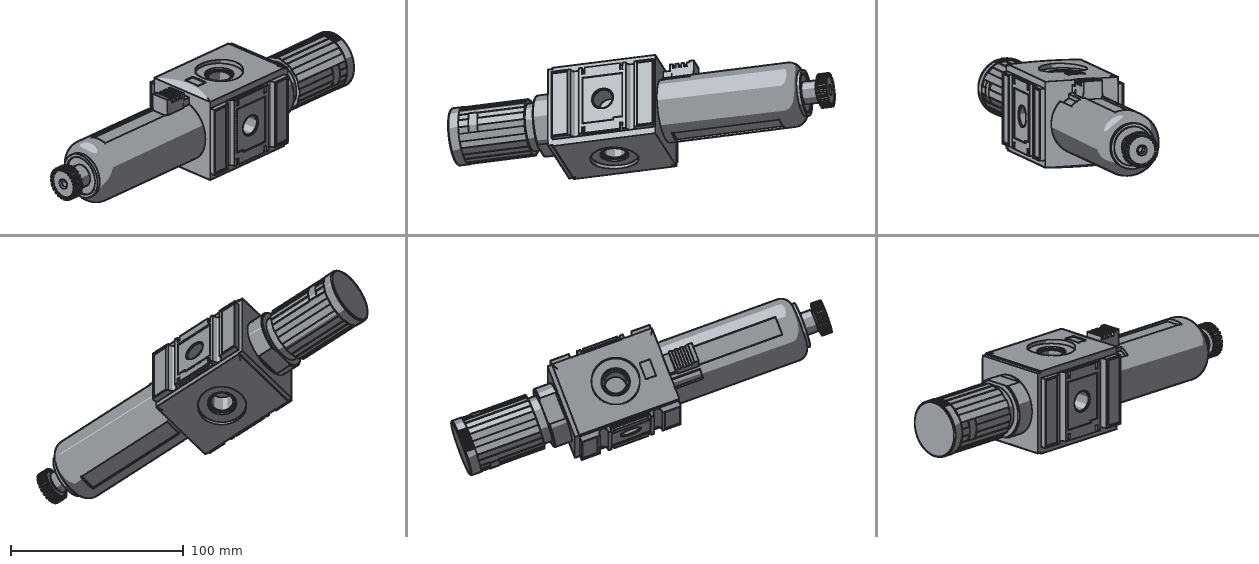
import cadquery as cq
import math


overall_length = 226.0
knob_end_y = 95.8
knob_band_y = knob_end_y - 6.3
knob_base_y = 50.0
collar_top_y = 44.5
plate_top_y = 33.7
block_half_length = 31.0
bowl_shoulder_y = -106.7
bowl_ring_y = -113.7
stem_start_y = -115.5
stem_end_y = -123.0
drain_knob_y = -124.3
drain_end_y = knob_end_y - overall_length

block_width = 45.2
block_edge_height = 50.6
block_crown_height = 54.2
plate_height = 49.0
end_slope_length = 6.0
port_recess_diameter = 28.0
port_recess_floor_z = 24.5
gauge_port_diameter = 12.9
gauge_port_mouth = 16.7
gauge_seat_diameter = 15.1
gauge_seat_depth = 1.5
side_port_diameter = 11.5
side_port_mouth = 12.9
port_depth = 13.5
label_size = (10.5, 6.3)
label_y = -20.0
label_depth = 0.7

rail_face_x = 26.0
rail_height = 42.3
rail_half_length = 30.7
groove_y = 16.7
groove_diameter = 5.2
groove_axis_x = 25.3
end_pocket_length = 9.3
end_pocket_height = 40.2
end_pocket_y = 25.5
pad_length = 24.5
panel_size = (24.0, 29.4)
panel_step_size = (5.5, 1.4)
pocket_depth = 0.7
tab_length = 21.2
tab_slot_width = 1.4
tab_slot_inset = 1.4
tab_slot_depth = 3.8

knob_diameter = 33.7
grip_diameter = 33.2
knob_chamfer = 0.7
flute_count = 12
flute_angle = 14.0
flute_depth = 0.5
mark_count = 9
mark_width = 0.8
mark_depth = 0.5
patch_near_y = knob_end_y - 12.5
patch_far_y = knob_end_y - 17.9
patch_half_angle = 22.0
neck_diameter = 28.0
collar_diameter = 36.0
collar_chamfer = 0.7
collar_flat_height = 31.9
collar_flange = 0.5

bowl_diameter = 37.7
bowl_ring_diameter = 27.0
ring_recess_diameter = 23.0
ring_recess_depth = 1.0
sight_width = 11.3
sight_near_y = -36.2
sight_far_y = -101.0
sight_floor_z = 16.7
lock_floor_radius = 16.7
lock_wall_x = -8.0
lock_edge_angle = 135.0
lock_half_angle = 20.0
stem_diameter = 13.3
stem_neck_diameter = 9.7
drain_diameter = 20.0
drain_root_diameter = 16.5
drain_tooth_count = 24
drain_hole_diameter = 4.0
drain_hole_mouth = 6.0
drain_hole_depth = 4.5

lever_width = 11.5
lever_end_y = -49.3
lever_step_y = -35.0
lever_low_z = 22.4
lever_tooth_z = 26.5
lever_top_z = 27.3
lever_gap_floor_z = 24.2
lever_gap_width = 1.7
lever_gap_count = 3
lever_stop_thickness = 2.5
lever_foot_width = 13.0
lever_foot_z = 20.3
lever_foot_base_z = 17.2


def disc(diameter, y_from, y_to):
    """Cylinder on the long axis between two stations."""
    low = min(y_from, y_to)
    return cq.Workplane("XZ", origin=(0, low, 0)).circle(diameter / 2).extrude(-abs(y_to - y_from))


def block(x_range, y_range, z_range):
    """Box given by its extents along the three axes."""
    size = [high - low for low, high in (x_range, y_range, z_range)]
    corner = (x_range[0], y_range[0], z_range[0])
    return cq.Workplane("XY", origin=corner).box(*size, centered=False)


def polar(radius, angle):
    """Point (x, z) on a circle about the long axis."""
    return radius * math.cos(math.radians(angle)), radius * math.sin(math.radians(angle))


def ring_sector(inner_radius, outer_radius, middle_angle, half_angle, y_from, y_to):
    """Piece of a ring about the long axis, between two stations."""
    start, end = middle_angle - half_angle, middle_angle + half_angle
    profile = (
        cq.Workplane("XZ", origin=(0, y_from, 0))
        .moveTo(*polar(inner_radius, start))
        .lineTo(*polar(outer_radius, start))
        .threePointArc(polar(outer_radius, middle_angle), polar(outer_radius, end))
        .lineTo(*polar(inner_radius, end))
        .threePointArc(polar(inner_radius, middle_angle), polar(inner_radius, start))
        .close()
    )
    return profile.extrude(y_from - y_to)


def port_cutter(diameter, mouth_diameter, face):
    """Blind port cutter with a conical mouth, opening along +Z at height face."""
    lead = (mouth_diameter - diameter) / 2
    profile = [
        (0, face - port_depth),
        (diameter / 2, face - port_depth),
        (diameter / 2, face - lead),
        (mouth_diameter / 2, face),
        (0, face),
    ]
    return cq.Workplane("XZ").polyline(profile).close().revolve(360, (0, 0, 0), (0, 1, 0))


def make_block():
    """Crowned central block with sloped crown ends and the upper plate."""
    half_width = block_width / 2
    edge_z = block_edge_height / 2
    crown_z = block_crown_height / 2
    body = (
        cq.Workplane("XZ", origin=(0, block_half_length, 0))
        .moveTo(-half_width, -edge_z)
        .lineTo(-half_width, edge_z)
        .threePointArc((0, crown_z), (half_width, edge_z))
        .lineTo(half_width, -edge_z)
        .threePointArc((0, -crown_z), (-half_width, -edge_z))
        .close()
        .extrude(2 * block_half_length)
    )
    slope = [
        (block_half_length, edge_z),
        (block_half_length, crown_z),
        (block_half_length - end_slope_length, crown_z),
    ]
    for y_side in (-1, 1):
        for z_side in (-1, 1):
            corner = [(y_side * y, z_side * z) for y, z in slope]
            wedge = cq.Workplane("YZ").polyline(corner).close().extrude(half_width, both=True)
            body = body.cut(wedge)
    plate = block(
        (-half_width, half_width),
        (block_half_length, plate_top_y),
        (-plate_height / 2, plate_height / 2),
    )
    return body.union(plate)


def make_rail():
    """Clamping rail of the +X side, with its grooves, pockets and centre pad."""
    half_height = rail_height / 2
    rail = block(
        (block_width / 2, rail_face_x),
        (-rail_half_length, rail_half_length),
        (-half_height, half_height),
    )
    pocket_x = (rail_face_x - pocket_depth, rail_face_x)
    for side in (-1, 1):
        groove = (
            cq.Workplane("XY", origin=(groove_axis_x, side * groove_y, -half_height))
            .circle(groove_diameter / 2)
            .extrude(rail_height)
        )
        pocket_y = side * end_pocket_y
        pocket = block(
            pocket_x,
            (pocket_y - end_pocket_length / 2, pocket_y + end_pocket_length / 2),
            (-end_pocket_height / 2, end_pocket_height / 2),
        )
        rail = rail.cut(groove).cut(pocket).cut(make_tab_cutter(side))
    panel_length, panel_height = panel_size
    panel = block(
        pocket_x,
        (-panel_length / 2, panel_length / 2),
        (-panel_height / 2, panel_height / 2),
    )
    step_length, step_height = panel_step_size
    corner_step = block(
        pocket_x,
        (-panel_length / 2, step_length - panel_length / 2),
        (-panel_height / 2, step_height - panel_height / 2),
    )
    return rail.cut(panel.cut(corner_step))


def make_tab_cutter(z_side):
    """Slot behind a thin tab at one end of the pad, open to the face beside the tab."""
    end_z = z_side * rail_height / 2
    floor_z = end_z - z_side * tab_slot_depth
    z_range = (min(end_z, floor_z), max(end_z, floor_z))
    slot_outer_x = rail_face_x - tab_slot_inset
    y_range = (-pad_length / 2, pad_length / 2)
    cutter = block((slot_outer_x - tab_slot_width, rail_face_x), y_range, z_range)
    tab = block((slot_outer_x, rail_face_x), (-tab_length / 2, tab_length / 2), z_range)
    return cutter.cut(tab)


def make_housing():
    """Block with both rails, two gauge ports, two side ports and a label recess."""
    rail = make_rail()
    body = make_block().union(rail).union(rail.mirror("YZ"))
    crown_z = block_crown_height / 2
    recess = (
        cq.Workplane("XY", origin=(0, 0, port_recess_floor_z))
        .circle(port_recess_diameter / 2)
        .extrude(crown_z - port_recess_floor_z)
    )
    gauge_lead = (gauge_port_mouth - gauge_seat_diameter) / 2
    gauge_seat = (
        cq.Workplane("XY", origin=(0, 0, port_recess_floor_z))
        .circle(gauge_port_mouth / 2)
        .workplane(offset=-gauge_lead)
        .circle(gauge_seat_diameter / 2)
        .loft(ruled=True)
        .faces("<Z")
        .workplane()
        .circle(gauge_seat_diameter / 2)
        .extrude(gauge_seat_depth - gauge_lead)
    )
    gauge_hole = (
        cq.Workplane("XY", origin=(0, 0, port_recess_floor_z - port_depth))
        .circle(gauge_port_diameter / 2)
        .extrude(port_depth)
    )
    gauge_port = recess.union(gauge_seat).union(gauge_hole)
    side_port = port_cutter(side_port_diameter, side_port_mouth, rail_face_x - pocket_depth)
    for half_turn in (0, 180):
        body = body.cut(gauge_port.rotate((0, 0, 0), (0, 1, 0), half_turn))
        body = body.cut(side_port.rotate((0, 0, 0), (0, 1, 0), 90 + half_turn))
    label = (
        cq.Workplane("XY", origin=(0, label_y, crown_z - label_depth))
        .rect(*label_size)
        .extrude(label_depth)
    )
    return body.cut(label)


def make_knob():
    """Fluted adjusting knob with a marked end band and two raised side patches."""
    band_radius = knob_diameter / 2
    grip_radius = grip_diameter / 2
    floor_radius = grip_radius - flute_depth
    band = disc(knob_diameter, knob_band_y, knob_end_y).faces(">Y").chamfer(knob_chamfer)
    mark_step = math.degrees(2 * mark_width / band_radius)
    for index in range(mark_count):
        middle = 90 + (index - (mark_count - 1) / 2) * mark_step
        band = band.cut(
            ring_sector(
                band_radius - mark_depth, knob_diameter, middle, mark_step / 4, knob_band_y, knob_end_y
            )
        )
    grip = disc(grip_diameter, knob_base_y, knob_band_y)
    pitch = 360 / flute_count
    for index in range(flute_count):
        middle = (index + 0.5) * pitch
        grip = grip.cut(
            ring_sector(floor_radius, knob_diameter, middle, flute_angle / 2, knob_base_y, knob_band_y)
        )
    knob = band.union(grip)
    for middle in (0, 180):
        patch = ring_sector(
            floor_radius / 2, band_radius, middle, patch_half_angle, patch_far_y, patch_near_y
        )
        knob = knob.union(patch)
    return knob


def make_bonnet():
    """Knob, neck and flatted collar."""
    collar = disc(collar_diameter, plate_top_y, collar_top_y).faces(">Y").chamfer(collar_chamfer)
    radius = collar_diameter / 2
    flats = block(
        (-radius, radius),
        (plate_top_y + collar_flange, collar_top_y),
        (-collar_flat_height / 2, collar_flat_height / 2),
    )
    flange = disc(collar_diameter, plate_top_y, plate_top_y + collar_flange)
    collar = collar.intersect(flats).union(flange)
    neck = disc(neck_diameter, collar_top_y, knob_base_y)
    return make_knob().union(neck).union(collar)


def make_bowl_shell():
    """Rounded bowl with sight flats, a locking pocket and the end ring."""
    shell = disc(bowl_diameter, bowl_ring_y, -block_half_length)
    shell = shell.faces("<Y").edges().fillet(bowl_shoulder_y - bowl_ring_y)
    ring = disc(bowl_ring_diameter, stem_start_y, bowl_shoulder_y)
    ring_recess = disc(ring_recess_diameter, stem_start_y, stem_start_y + ring_recess_depth)
    shell = shell.union(ring).cut(ring_recess)
    radius = bowl_diameter / 2
    for z_range in ((sight_floor_z, radius), (-radius, -sight_floor_z)):
        shell = shell.cut(block((-sight_width / 2, sight_width / 2), (sight_far_y, sight_near_y), z_range))
    lock_sector = ring_sector(
        lock_floor_radius,
        bowl_diameter,
        lock_edge_angle - lock_half_angle,
        lock_half_angle,
        lever_end_y,
        -block_half_length,
    )
    left_of_wall = block((-radius, lock_wall_x), (lever_end_y, -block_half_length), (0, radius))
    return shell.cut(lock_sector.intersect(left_of_wall))


def make_lever():
    """Release lever with finger ridges, an end stop and a flared foot."""
    stop_y = lever_end_y + lever_stop_thickness
    profile = [
        (-block_half_length, 0),
        (-block_half_length, lever_low_z),
        (lever_step_y, lever_low_z),
        (lever_step_y, lever_tooth_z),
        (stop_y, lever_tooth_z),
        (stop_y, lever_top_z),
        (lever_end_y, lever_top_z),
        (lever_end_y, 0),
    ]
    half_width = lever_width / 2
    lever = cq.Workplane("YZ").polyline(profile).close().extrude(half_width, both=True)
    for index in range(lever_gap_count):
        gap_end_y = lever_step_y - (2 * index + 1) * lever_gap_width
        gap = block(
            (-half_width, half_width),
            (gap_end_y - lever_gap_width, gap_end_y),
            (lever_gap_floor_z, lever_tooth_z),
        )
        lever = lever.cut(gap)
    foot_half_width = lever_foot_width / 2
    foot_profile = [
        (-foot_half_width, 0),
        (-foot_half_width, lever_foot_base_z),
        (-half_width, lever_foot_z),
        (half_width, lever_foot_z),
        (foot_half_width, lever_foot_base_z),
        (foot_half_width, 0),
    ]
    foot = (
        cq.Workplane("XZ", origin=(0, sight_near_y, 0))
        .polyline(foot_profile)
        .close()
        .extrude(sight_near_y - lever_end_y)
    )
    return lever.union(foot)


def make_drain():
    """Stem and toothed drain knob with a countersunk outlet."""
    stem = disc(stem_diameter, stem_end_y, stem_start_y + ring_recess_depth)
    neck = disc(stem_neck_diameter, drain_knob_y, stem_end_y)
    wheel = disc(drain_diameter, drain_end_y, drain_knob_y)
    pitch = 360 / drain_tooth_count
    for index in range(drain_tooth_count):
        wheel = wheel.cut(
            ring_sector(
                drain_root_diameter / 2, drain_diameter, index * pitch, pitch / 4, drain_end_y, drain_knob_y
            )
        )
    lead = (drain_hole_mouth - drain_hole_diameter) / 2
    outlet_profile = [
        (0, drain_end_y),
        (drain_hole_mouth / 2, drain_end_y),
        (drain_hole_diameter / 2, drain_end_y + lead),
        (drain_hole_diameter / 2, drain_end_y + drain_hole_depth),
        (0, drain_end_y + drain_hole_depth),
    ]
    outlet = cq.Workplane("XY").polyline(outlet_profile).close().revolve(360, (0, 0, 0), (0, 1, 0))
    return stem.union(neck).union(wheel).cut(outlet)


def make_bowl():
    """Bowl shell with its release lever and drain in one piece."""
    return make_bowl_shell().union(make_lever()).union(make_drain())


housing = make_housing()
bonnet = make_bonnet()
bowl = make_bowl()

result = cq.Compound.makeCompound([housing.val(), bonnet.val(), bowl.val()])